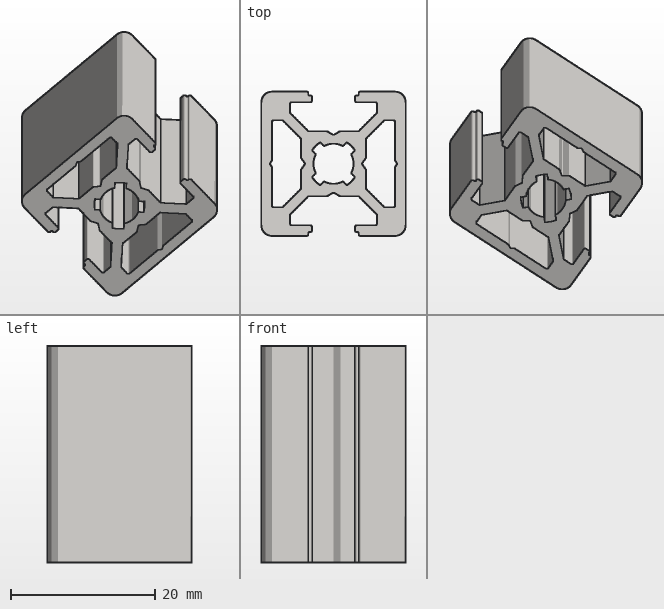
import cadquery as cq
import math

length = 30.0
side = 20.0
half_side = side / 2
corner_radius = 1.5

wall = 1.5
core_half = 4.53
web = 1.47
cavity_half = 6.0
cavity_fillet = 0.2
cavity_depth_end = half_side - wall

web_offset = web / math.sqrt(2)
cavity_floor_half = core_half - web_offset
cavity_shoulder = cavity_half + web_offset

mouth_half = 3.48
mouth_step_depth = 0.55
lip_half = 2.97
mouth_fillet = 0.25
lip_fillet = 0.25
step_fillet = 0.12

slot_groove = (0.93, 0.55)
pocket_groove = (0.85, 0.6)
wall_groove = (0.48, 0.3)
groove_fillet = 0.2

bore_radius = 2.75
notch_radius = 3.48
notch_width = 1.6


def prism(points):
    return cq.Workplane("XY").polyline(points).close().extrude(length)


def fillet_edges(body, spots, radius):
    """Round the upright edges found at the (x, y) spots."""
    for x, y in spots:
        edge = cq.selectors.NearestToPointSelector((x, y, length / 2))
        body = body.edges("|Z").edges(edge).fillet(radius)
    return body


def cavity():
    """Space on the +Y side between the hub, two webs and the outer wall."""
    block = prism([
        (-cavity_floor_half, core_half),
        (cavity_floor_half, core_half),
        (cavity_half, cavity_shoulder),
        (cavity_half, cavity_depth_end),
        (-cavity_half, cavity_depth_end),
        (-cavity_half, cavity_shoulder),
    ])
    outer_corners = [(x, cavity_depth_end) for x in (-cavity_half, cavity_half)]
    return fillet_edges(block, outer_corners, cavity_fillet)


def add_groove(space, size, face_y, direction):
    """Add to a space a V groove at face_y, its tip pointing along direction in Y."""
    half_width, depth = size
    corners = [
        (-half_width, face_y),
        (0, face_y + direction * depth),
        (half_width, face_y),
    ]
    return fillet_edges(space.union(prism(corners)), corners, groove_fillet)


def slot():
    """Open T-slot on the +Y side, with rounded edges on its lips."""
    step_y = half_side - mouth_step_depth
    mouth_passage = prism([
        (-lip_half, core_half),
        (lip_half, core_half),
        (lip_half, half_side),
        (-lip_half, half_side),
    ])
    mouth_recess = prism([
        (-mouth_half, step_y),
        (mouth_half, step_y),
        (mouth_half, half_side),
        (-mouth_half, half_side),
    ])
    space = cavity().union(mouth_passage).union(mouth_recess)
    for x_sign in (-1, 1):
        lip_edges = [(x_sign * lip_half, step_y), (x_sign * lip_half, cavity_depth_end)]
        space = fillet_edges(space, lip_edges, lip_fillet)
        space = fillet_edges(space, [(x_sign * mouth_half, step_y)], step_fillet)
    return add_groove(space, slot_groove, core_half, -1)


def pocket():
    """Closed pocket, built on the +Y side."""
    space = add_groove(cavity(), pocket_groove, core_half, -1)
    return add_groove(space, wall_groove, cavity_depth_end, 1)


def turned(shape, angle):
    """Turn a shape about the extrusion axis."""
    return shape.rotate((0, 0, 0), (0, 0, 1), angle)


def bore():
    """Round bore with four diagonal notches that end on a larger circle."""
    hole = cq.Workplane("XY").circle(bore_radius).extrude(length)
    notch_limit = cq.Workplane("XY").circle(notch_radius).extrude(length)
    bar = cq.Workplane("XY").rect(2 * notch_radius, notch_width).extrude(length)
    notch_pair = bar.intersect(notch_limit)
    return hole.union(turned(notch_pair, 45)).union(turned(notch_pair, 135))


result = cq.Workplane("XY").rect(side, side).extrude(length)
result = result.edges("|Z").fillet(corner_radius)
for angle in (0, 180):
    result = result.cut(turned(slot(), angle))
    result = result.cut(turned(pocket(), angle + 90))
result = result.cut(bore())

mouth_edges = [(x * mouth_half, y * half_side) for x in (-1, 1) for y in (-1, 1)]
result = fillet_edges(result, mouth_edges, mouth_fillet)